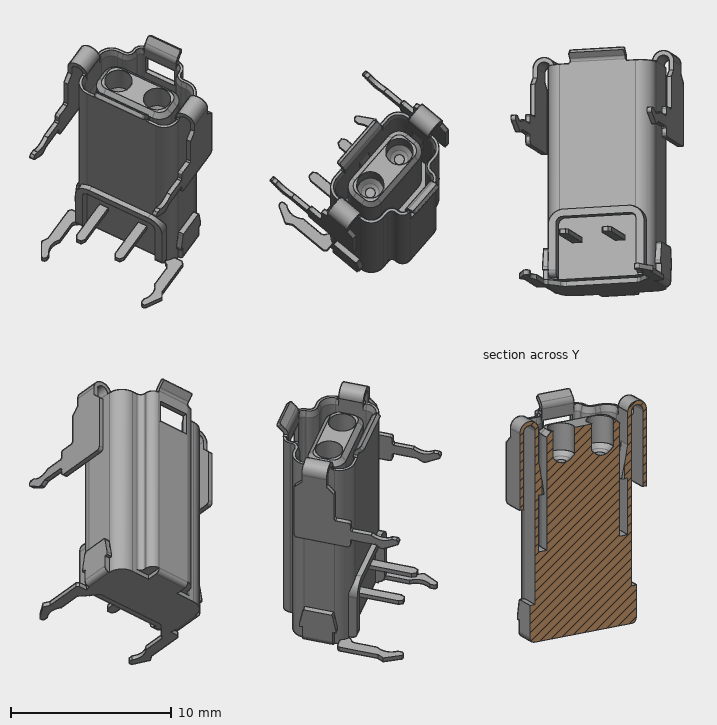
import cadquery as cq
import math

OVERALL_X = 9.2
OVERALL_Z = 14.9

SHEET = 0.3
SHELL_HALF_X = 3.5
SHELL_HALF_Y = 2.01
SHELL_TOP = 13.99
SHELL_CORNER_R = 1.01
BUMP_HALF_X = 1.76
BUMP_Y = 3.04
BUMP_CORNER_R = 0.6
BUMP_ROOT_R = 0.37
RIM_WALL = 0.18
RIM_DEPTH = 0.45
WINDOW_HALF_X = 1.05
WINDOW_BOTTOM = 11.8
WINDOW_TOP = 13.34

FLOOR_Z = 5.96
TOWER_HALF_X = 2.65
TOWER_HALF_Y = 1.22
TOWER_TOP = 13.75
TOWER_CORNER_R = 0.88
TOWER_BEVEL = 0.31
CONTACT_X = 1.4
SOCKET_R = 0.85
SOCKET_DEPTH = 1.79
FUNNEL_R = 0.55
FUNNEL_DROP = 0.3
SEAT_R = 0.31
SEAT_DROP = 0.15

KEY_HEIGHT = 0.4
KEY_HALF_ROOT = 0.43
KEY_HALF_CREST = 0.31
KEY_TOP = 11.92
KEY_BOTTOM = 9.68

FLARE_START = 14.21
FLARE_BEND_R = 0.3
FRONT_CLIP_HALF_X = 1.8
FRONT_CLIP_REACH = 0.39
REAR_CLIP_HALF_X = 1.16
REAR_CLIP_REACH = OVERALL_Z - FLARE_START - SHEET / math.sqrt(2)
CLIP_CORNER = 0.12
CLIP_GUSSET = 0.1

LOOP_OUTER_R = (OVERALL_X / 2 - SHELL_HALF_X + SHEET) / 2
LOOP_HALF_Y = 0.8
LOOP_X = SHELL_HALF_X - SHEET + LOOP_OUTER_R
LOOP_Z = 14.02

FRAME_Y = -2.37
RECESS_Y = -1.79
FRAME_HALF_X = 3.13
FRAME_TOP = 4.68
FRAME_BOTTOM = 0.42
FRAME_R = 1.0
FRAME_FOOT_R = 0.42
RECESS_HALF_X = 2.62
RECESS_TOP = 4.22
RECESS_R = 0.43

TAIL_HALF_X = 0.31
TAIL_THICKNESS = 0.3
TAIL_Z = 2.75
TAIL_TIP_Y = -4.89
TAIL_TIP_CUT_X = 0.15
TAIL_TIP_CUT_Y = 0.25

HANG_TOP = 12.95
HANG_BOTTOM = 8.93
HANG_NECK_Z = 13.44
HANG_REAR_Y = 1.31
HANG_FRONT_Y = -1.3
HANG_FOOT_Y = -2.37
HANG_FOOT_TOP = 10.85
HANG_CORNER_R = 0.22
HANG_SMALL_R = 0.15
HANG_RELIEF = 0.1
SIDE_LEG_TOP = 10.24
SIDE_LEG_BOTTOM = 9.55
SIDE_LEG_BARB_Z = 9.34
SIDE_LEG_TIP_R = 0.21
SIDE_LEG_TIP_LOW = (-5.44, 9.88)
SIDE_LEG_TIP_HIGH_Y = -5.36
SIDE_LEG_BARB_START_Y = -4.0
SIDE_LEG_BARB_NEAR_Y = -4.37
SIDE_LEG_BARB_FAR_Y = -4.55
SIDE_LEG_WAIST = (-4.43, 10.01)
SIDE_LEG_WAIST_START_Y = -3.74
SIDE_LEG_WAIST_END_Y = -5.07

PLATE = 0.31
PLATE_BEND_R = 0.3
NOTCH_HALF_X = 2.32
NOTCH_Y = -1.12
NOTCH_SIDE_X = 2.64
NOTCH_CORNER_R = 0.42
LEG_ROOT_X = 3.23
LEG_ROOT_Y = -2.03
LEG_ROOT_R = 0.3
LEG_STRAIGHT_Y = -2.3
LEG_REAR_Y = -1.34
LEG_INNER_X = 3.44
LEG_OUTER_X = 4.14
LEG_CORNER = 0.15
LEG_BARB_X = 4.37
LEG_BARB_Y = -4.44
LEG_BARB_START_Y = -4.04
LEG_WAIST_X = 3.68
LEG_WAIST_Y = -4.47
LEG_WAIST_START_Y = -3.77
LEG_WAIST_END_Y = -5.11
LEG_TIP_X = 3.78
LEG_TIP_OUTER_Y = -5.45
LEG_TIP_INNER_Y = -5.36
LEG_TIP_R = 0.2
TAB_X = 3.86
TAB_HALF_Y = 0.98
TAB_BARB_HALF_Y = 1.19
TAB_TOP = 2.52
TAB_CORNER = 0.12
TAB_BARB_TOP = 1.33
TAB_BARB_BOTTOM = 1.13
TAB_BEND_R = 0.35


def box(x0, x1, y0, y1, z0, z1):
    size = (x1 - x0, y1 - y0, z1 - z0)
    return cq.Workplane("XY").box(*size, centered=False).translate((x0, y0, z0))


def mirrored(body):
    """The body together with its mirror image across the YZ plane."""
    return body.union(body.mirror("YZ"))


def shell_outline(z, inset):
    """Closed outline of the shell at height z, moved inward by inset."""
    hx = SHELL_HALF_X - inset
    hy = SHELL_HALF_Y - inset
    bump_x = BUMP_HALF_X - inset
    bump_y = BUMP_Y - inset
    corner = SHELL_CORNER_R - inset
    bump_r = BUMP_CORNER_R - inset
    root_r = BUMP_ROOT_R + inset
    return (
        cq.Workplane("XY", origin=(0, 0, z))
        .moveTo(0, -hy)
        .lineTo(hx - corner, -hy)
        .tangentArcPoint((hx, -hy + corner), relative=False)
        .lineTo(hx, hy - corner)
        .tangentArcPoint((hx - corner, hy), relative=False)
        .lineTo(bump_x + root_r, hy)
        .tangentArcPoint((bump_x, hy + root_r), relative=False)
        .lineTo(bump_x, bump_y - bump_r)
        .tangentArcPoint((bump_x - bump_r, bump_y), relative=False)
        .lineTo(0, bump_y)
        .mirrorY()
    )


def shell_body():
    """Solid shell with the mating cavity, its lead-in and the rear window."""
    body = shell_outline(0, 0).extrude(SHELL_TOP)
    body = body.cut(shell_outline(FLOOR_Z, SHEET).extrude(SHELL_TOP - FLOOR_Z))
    lead_in = cq.Solid.makeLoft(
        [
            shell_outline(SHELL_TOP - RIM_DEPTH, SHEET).wires().val(),
            shell_outline(SHELL_TOP, RIM_WALL).wires().val(),
        ],
        True,
    )
    body = body.cut(cq.Workplane(lead_in))
    return body.cut(
        box(-WINDOW_HALF_X, WINDOW_HALF_X, SHELL_HALF_Y, BUMP_Y, WINDOW_BOTTOM, WINDOW_TOP)
    )


def fold_rear_edge(body):
    """Below the rear bump only a rounded fold of sheet reaches the bottom."""
    bump_width = 2 * (BUMP_HALF_X + BUMP_ROOT_R)
    body = body.cut(box(-bump_width / 2, bump_width / 2, SHELL_HALF_Y, BUMP_Y, 0, PLATE))
    fold = box(-REAR_CLIP_HALF_X, REAR_CLIP_HALF_X, SHELL_HALF_Y, BUMP_Y, 0, PLATE)
    return body.union(fold.edges(">Y and <Z").fillet(PLATE_BEND_R))


def tower():
    """Bevelled block with two funnel-ended contact sockets."""
    body = (
        box(-TOWER_HALF_X, TOWER_HALF_X, -TOWER_HALF_Y, TOWER_HALF_Y, FLOOR_Z, TOWER_TOP)
        .edges("|Z")
        .fillet(TOWER_CORNER_R)
    )
    body = body.faces(">Z").edges().chamfer(TOWER_BEVEL)
    for x in (-CONTACT_X, CONTACT_X):
        body = body.cut(socket().translate((x, 0, 0)))
    return body


def socket():
    """Turned cavity: straight bore, steep funnel, shallow funnel to a flat seat."""
    bore_end = TOWER_TOP - SOCKET_DEPTH
    funnel_end = bore_end - FUNNEL_DROP
    return (
        cq.Workplane("XZ")
        .moveTo(0, TOWER_TOP)
        .lineTo(SOCKET_R, TOWER_TOP)
        .lineTo(SOCKET_R, bore_end)
        .lineTo(FUNNEL_R, funnel_end)
        .lineTo(SEAT_R, funnel_end - SEAT_DROP)
        .lineTo(0, funnel_end - SEAT_DROP)
        .close()
        .revolve(360, (0, 0, 0), (0, 1, 0))
    )


def key(wall_distance, angle):
    """Ramped key on an inner wall, turned about Z from the +X side."""
    wall = wall_distance + SHEET / 2
    crest = wall_distance - KEY_HEIGHT
    bar = (
        cq.Workplane("XY", origin=(0, 0, KEY_BOTTOM))
        .moveTo(wall, -KEY_HALF_ROOT)
        .lineTo(wall_distance, -KEY_HALF_ROOT)
        .lineTo(crest, -KEY_HALF_CREST)
        .lineTo(crest, KEY_HALF_CREST)
        .lineTo(wall_distance, KEY_HALF_ROOT)
        .lineTo(wall, KEY_HALF_ROOT)
        .close()
        .extrude(KEY_TOP - KEY_BOTTOM)
    )
    ramp = (
        cq.Workplane("XZ")
        .moveTo(wall_distance, KEY_TOP)
        .lineTo(crest, KEY_BOTTOM)
        .lineTo(crest, KEY_TOP)
        .close()
        .extrude(KEY_HALF_ROOT, both=True)
    )
    return bar.cut(ramp).rotate((0, 0, 0), (0, 0, 1), angle)


def flared_clip(wall_y, half_x, reach):
    """Clip on the +Y wall: straight root, then flared outward at 45 degrees."""
    step = SHEET / math.sqrt(2)
    tip_z = FLARE_START + reach
    half_turn = math.tan(math.radians(22.5))
    clip = (
        cq.Workplane("YZ", origin=(-half_x, 0, 0))
        .moveTo(wall_y, WINDOW_TOP)
        .lineTo(wall_y, FLARE_START)
        .lineTo(wall_y + reach, tip_z)
        .lineTo(wall_y + reach - step, tip_z + step)
        .lineTo(wall_y - SHEET, FLARE_START + SHEET * half_turn)
        .lineTo(wall_y - SHEET, WINDOW_TOP)
        .close()
        .extrude(2 * half_x)
    )
    bend_outer = (0, wall_y, FLARE_START)
    bend_inner = (0, wall_y - SHEET, FLARE_START + SHEET * half_turn)
    clip = clip.edges(cq.NearestToPointSelector(bend_outer)).fillet(FLARE_BEND_R)
    clip = clip.edges(cq.NearestToPointSelector(bend_inner)).fillet(FLARE_BEND_R + SHEET)
    for side_x in (-half_x, half_x):
        tip = (side_x, wall_y + reach - step / 2, tip_z + step / 2)
        clip = clip.edges(cq.NearestToPointSelector(tip)).fillet(CLIP_CORNER)
    return clip.union(gusset(half_x, wall_y))


def gusset(half_width, wall):
    """Trapezoid that widens the root of a clip standing on the +Y wall."""
    return (
        cq.Workplane("XZ", origin=(0, wall, SHELL_TOP))
        .moveTo(-half_width - CLIP_GUSSET, 0)
        .lineTo(half_width + CLIP_GUSSET, 0)
        .lineTo(half_width, CLIP_GUSSET)
        .lineTo(-half_width, CLIP_GUSSET)
        .close()
        .extrude(SHEET)
    )


def rim_loop():
    """Half ring that carries the +X side clip over the rim, with its root in the wall."""
    inner_r = LOOP_OUTER_R - SHEET
    root_x = SHELL_HALF_X - SHEET
    return (
        cq.Workplane("XZ", origin=(0, LOOP_HALF_Y, 0))
        .moveTo(root_x, WINDOW_TOP)
        .lineTo(root_x, LOOP_Z)
        .threePointArc((LOOP_X, LOOP_Z + LOOP_OUTER_R), (LOOP_X + LOOP_OUTER_R, LOOP_Z))
        .lineTo(LOOP_X + inner_r, LOOP_Z)
        .threePointArc((LOOP_X, LOOP_Z + inner_r), (SHELL_HALF_X, LOOP_Z))
        .lineTo(SHELL_HALF_X, WINDOW_TOP)
        .close()
        .extrude(2 * LOOP_HALF_Y)
    )


def side_clip():
    """Clip on the +X side: loop over the rim, hanging plate and solder leg."""
    foot_bottom = SIDE_LEG_BOTTOM - HANG_RELIEF
    neck_y = LOOP_HALF_Y
    plate = (
        cq.Workplane("YZ", origin=(OVERALL_X / 2 - SHEET, 0, 0))
        .moveTo(neck_y, LOOP_Z)
        .lineTo(neck_y, HANG_NECK_Z)
        .lineTo(HANG_REAR_Y, HANG_TOP)
        .lineTo(HANG_REAR_Y, HANG_BOTTOM + HANG_CORNER_R)
        .radiusArc((HANG_REAR_Y - HANG_CORNER_R, HANG_BOTTOM), HANG_CORNER_R)
        .lineTo(HANG_FOOT_Y + HANG_CORNER_R, HANG_BOTTOM)
        .radiusArc((HANG_FOOT_Y, HANG_BOTTOM + HANG_CORNER_R), HANG_CORNER_R)
        .lineTo(HANG_FOOT_Y, foot_bottom)
        .lineTo(HANG_FOOT_Y - HANG_RELIEF, SIDE_LEG_BOTTOM)
        .lineTo(SIDE_LEG_BARB_START_Y, SIDE_LEG_BOTTOM)
        .lineTo(SIDE_LEG_BARB_NEAR_Y, SIDE_LEG_BARB_Z)
        .lineTo(SIDE_LEG_BARB_FAR_Y, SIDE_LEG_BARB_Z)
        .lineTo(*SIDE_LEG_TIP_LOW)
        .radiusArc((SIDE_LEG_TIP_HIGH_Y, SIDE_LEG_TOP), SIDE_LEG_TIP_R)
        .lineTo(SIDE_LEG_WAIST_END_Y, SIDE_LEG_TOP)
        .threePointArc(SIDE_LEG_WAIST, (SIDE_LEG_WAIST_START_Y, SIDE_LEG_TOP))
        .lineTo(HANG_FOOT_Y - HANG_RELIEF, SIDE_LEG_TOP)
        .lineTo(HANG_FOOT_Y, SIDE_LEG_TOP + HANG_RELIEF)
        .lineTo(HANG_FOOT_Y, HANG_FOOT_TOP - HANG_SMALL_R)
        .radiusArc((HANG_FOOT_Y + HANG_SMALL_R, HANG_FOOT_TOP), HANG_SMALL_R)
        .lineTo(HANG_FRONT_Y - HANG_RELIEF, HANG_FOOT_TOP)
        .lineTo(HANG_FRONT_Y, HANG_FOOT_TOP + HANG_RELIEF)
        .lineTo(HANG_FRONT_Y, HANG_TOP)
        .lineTo(-neck_y, HANG_NECK_Z)
        .lineTo(-neck_y, LOOP_Z)
        .close()
        .extrude(SHEET)
    )
    root_gusset = gusset(LOOP_HALF_Y, SHELL_HALF_X).rotate((0, 0, 0), (0, 0, 1), -90)
    return rim_loop().union(plate).union(root_gusset)


def exit_frame():
    """Raised arch on the front wall; its outline continues back into the body."""
    return (
        box(-FRAME_HALF_X, FRAME_HALF_X, FRAME_Y, 0, FRAME_BOTTOM, FRAME_TOP)
        .edges("|Y and >Z")
        .fillet(FRAME_R)
        .edges("<Y and <Z")
        .fillet(FRAME_FOOT_R)
    )


def exit_recess():
    """Recess inside the arch, open at the bottom."""
    return (
        box(-RECESS_HALF_X, RECESS_HALF_X, FRAME_Y, RECESS_Y, PLATE, RECESS_TOP)
        .edges("|Y and >Z")
        .fillet(RECESS_R)
    )


def plate_notch():
    """Gap in the bottom plate between its two legs."""
    return (
        cq.Workplane("XY")
        .moveTo(0, NOTCH_Y)
        .lineTo(NOTCH_HALF_X, NOTCH_Y)
        .radiusArc((NOTCH_SIDE_X, LEG_REAR_Y), NOTCH_CORNER_R)
        .lineTo(LEG_ROOT_X, LEG_ROOT_Y)
        .lineTo(LEG_ROOT_X, FRAME_Y)
        .lineTo(0, FRAME_Y)
        .mirrorY()
        .extrude(PLATE)
    )


def contact_tail():
    """Flat contact tail leaving the recess at +X, with a tapered tip."""
    half_z = TAIL_THICKNESS / 2
    tip = (
        box(-TAIL_HALF_X, TAIL_HALF_X, TAIL_TIP_Y, 0, TAIL_Z - half_z, TAIL_Z + half_z)
        .edges("|Z and <Y")
        .chamfer(TAIL_TIP_CUT_Y, TAIL_TIP_CUT_X)
    )
    return tip.translate((CONTACT_X, 0, 0))


def bottom_leg():
    """Solder leg of the bottom plate on the +X side."""
    return (
        cq.Workplane("XY")
        .moveTo(NOTCH_SIDE_X, LEG_REAR_Y)
        .lineTo(LEG_OUTER_X - LEG_CORNER, LEG_REAR_Y)
        .lineTo(LEG_OUTER_X, LEG_REAR_Y - LEG_CORNER)
        .lineTo(LEG_OUTER_X, LEG_BARB_START_Y)
        .lineTo(LEG_BARB_X, LEG_BARB_Y)
        .lineTo(LEG_TIP_X, LEG_TIP_OUTER_Y)
        .radiusArc((LEG_INNER_X, LEG_TIP_INNER_Y), LEG_TIP_R)
        .lineTo(LEG_INNER_X, LEG_WAIST_END_Y)
        .threePointArc((LEG_WAIST_X, LEG_WAIST_Y), (LEG_INNER_X, LEG_WAIST_START_Y))
        .lineTo(LEG_INNER_X, LEG_STRAIGHT_Y)
        .radiusArc((LEG_ROOT_X, LEG_ROOT_Y), -LEG_ROOT_R)
        .close()
        .extrude(PLATE)
    )


def side_tab():
    """Barbed tab bent up against the +X wall from the bottom plate."""
    right_half = [
        (TAB_HALF_Y, 0),
        (TAB_HALF_Y, TAB_BARB_BOTTOM),
        (TAB_BARB_HALF_Y, TAB_BARB_BOTTOM),
        (TAB_BARB_HALF_Y, TAB_BARB_TOP),
        (TAB_HALF_Y, TAB_TOP - TAB_CORNER),
        (TAB_HALF_Y - TAB_CORNER / 2, TAB_TOP),
    ]
    left_half = [(-y, z) for y, z in reversed(right_half)]
    tab = (
        cq.Workplane("YZ", origin=(SHELL_HALF_X, 0, 0))
        .polyline(right_half + left_half)
        .close()
        .extrude(TAB_X - SHELL_HALF_X)
    )
    return tab.edges(">X and <Z").fillet(TAB_BEND_R)


inner_x = SHELL_HALF_X - SHEET
inner_y = SHELL_HALF_Y - SHEET
front_clip = flared_clip(SHELL_HALF_Y, FRONT_CLIP_HALF_X, FRONT_CLIP_REACH)

result = fold_rear_edge(shell_body())
result = result.union(exit_frame()).cut(exit_recess()).cut(plate_notch())
result = result.union(tower())
for wall_distance, angle in ((inner_x, 0), (inner_x, 180), (inner_y, -90)):
    result = result.union(key(wall_distance, angle))
result = result.union(flared_clip(BUMP_Y, REAR_CLIP_HALF_X, REAR_CLIP_REACH))
result = result.union(front_clip.rotate((0, 0, 0), (0, 0, 1), 180))
for feature in (side_clip(), contact_tail(), bottom_leg(), side_tab()):
    result = result.union(mirrored(feature))